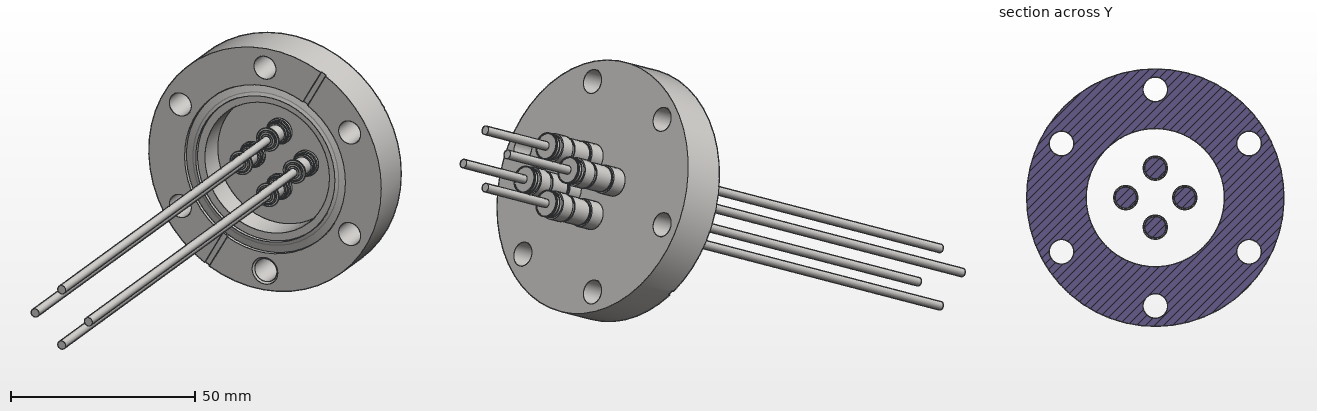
import cadquery as cq
import math

flange_diameter = 69.85
flange_thickness = 12.7
bolt_circle_diameter = 58.7
bolt_hole_count = 6
bolt_hole_diameter = 6.6
hole_chamfer = 0.55

recess_diameter = 48.3
knife_shoulder_diameter = 43.8
knife_tip_diameter = 41.8
bore_diameter = 37.4
knife_tip_depth = 0.2
knife_shoulder_depth = 0.55
recess_depth = 1.2
knife_root_depth = 1.4
floor_depth = 9.5

groove_width = 1.6
groove_depth = 0.5
groove_overlap = 1.0
groove_angles = (60, 240)

feedthrough_count = 4
feedthrough_offset = 8.0
pin_diameter = 2.4
pin_length = 184.15
pin_front_reach = 128.05

collar_radius = 3.9
sleeve_radius = 3.65
neck_radius = 3.45
back_steps = [
    (collar_radius, 4.5),
    (neck_radius, 5.0),
    (sleeve_radius, 11.1),
    (neck_radius, 12.2),
    (collar_radius, 16.1),
    (neck_radius, 17.2),
    (sleeve_radius, 18.2),
    (neck_radius, 18.6),
    (sleeve_radius, 18.9),
]

base_radius = 3.6
base_shoulder_radius = 3.2
body_collar_radius = 2.9
body_radius = 2.5
cap_radius = 3.3
cap_shoulder_radius = 2.7
cap_ridge_radius = 2.3
cap_tip_radius = 1.7
front_steps = [
    (base_radius, 0.9),
    (base_shoulder_radius, 1.7),
    (body_collar_radius, 2.5),
    (body_radius, 7.5),
    (cap_radius, 7.9),
    (cap_shoulder_radius, 8.1),
    (cap_ridge_radius, 8.3),
    (cap_tip_radius, 8.5),
]


def cylinder(radius, start, end):
    """Cylinder along +Y between two Y positions."""
    plane = cq.Workplane("XZ", origin=(0, start, 0))
    return plane.circle(radius).extrude(start - end)


def revolve_about_y(profile):
    """Solid of revolution from (radius, Y) points."""
    return cq.Workplane("XY").polyline(profile).close().revolve(360, (0, 0), (0, 1))


def make_flange():
    body = cylinder(flange_diameter / 2, 0, flange_thickness)
    recess_profile = [
        (0, 0),
        (recess_diameter / 2, 0),
        (recess_diameter / 2, recess_depth),
        (knife_shoulder_diameter / 2, knife_shoulder_depth),
        (knife_tip_diameter / 2, knife_tip_depth),
        (knife_tip_diameter / 2, knife_root_depth),
        (bore_diameter / 2, knife_root_depth),
        (bore_diameter / 2, floor_depth),
        (0, floor_depth),
    ]
    recess = revolve_about_y(recess_profile)
    return body.cut(recess)


def make_hole_chamfer():
    """Conical cutter that chamfers the bottom bolt hole at the sealing face."""
    hole_radius = bolt_hole_diameter / 2
    profile = [(0, 0), (hole_radius + hole_chamfer, 0), (hole_radius, hole_chamfer), (0, hole_chamfer)]
    return revolve_about_y(profile)


def cut_bolt_holes(body):
    radius = bolt_circle_diameter / 2
    hole = cylinder(bolt_hole_diameter / 2, 0, flange_thickness)
    for index in range(bolt_hole_count):
        angle = math.radians(90 + index * 360 / bolt_hole_count)
        position = (radius * math.cos(angle), 0, radius * math.sin(angle))
        body = body.cut(hole.translate(position))
    return body.cut(make_hole_chamfer().translate((0, 0, -radius)))


def cut_leak_grooves(body):
    inner = recess_diameter / 2 - groove_overlap
    for angle in groove_angles:
        groove = cq.Workplane("XY").box(
            flange_diameter / 2, groove_depth, groove_width, centered=(False, False, True)
        )
        body = body.cut(groove.translate((inner, 0, 0)).rotate((0, 0, 0), (0, 1, 0), -angle))
    return body


def stepped_stack(steps, base, direction):
    """Solid of revolution about Y with stacked steps growing from base along +Y or -Y."""
    profile = [(0, base)]
    start = 0
    for radius, end in steps:
        profile.append((radius, base + direction * start))
        profile.append((radius, base + direction * end))
        start = end
    profile.append((0, base + direction * start))
    return revolve_about_y(profile)


def make_feedthrough():
    pin = cylinder(pin_diameter / 2, -pin_front_reach, pin_length - pin_front_reach)
    back_stack = stepped_stack(back_steps, flange_thickness, 1)
    front_stack = stepped_stack(front_steps, floor_depth, -1)
    return pin.union(back_stack).union(front_stack)


feedthrough = make_feedthrough().translate((feedthrough_offset, 0, 0))
result = cut_leak_grooves(cut_bolt_holes(make_flange()))
for index in range(feedthrough_count):
    turn = index * 360 / feedthrough_count
    result = result.union(feedthrough.rotate((0, 0, 0), (0, 1, 0), turn))